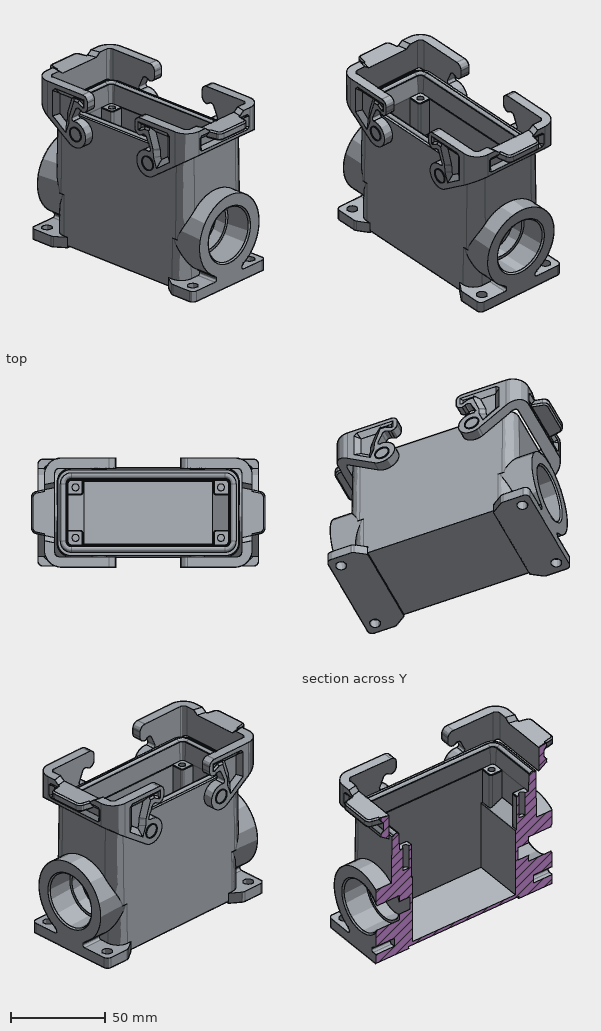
import cadquery as cq
import math

overall_length = 124.0
overall_width = 58.0
overall_height = 96.8

body_half_y = 23.8
base_half_x = 46.4
upper_half_x = 49.0
upper_corner = 7.7
base_corner = 7.3
body_bottom = 1.4
rim_height = 79.9
draft_angle = 0.8

bead_top = 81.0
bead_half_x = 45.1
bead_half_y = 19.6
bead_radius = 1.6

cavity_half_x = 42.5
cavity_half_y = 17.1
lower_cavity_half_y = 16.6
mouth_draft = 3.0
cavity_corner = 1.9
ledge_height = 68.8
floor_height = 3.8
ramp_half_x = 34.0
ramp_bottom = 46.5
ramp_top = 50.8

post_inner_x = 34.7
post_inner_y = 9.4
post_radius = 1.2
post_chamfer = 0.4
post_hole_x = 38.6
post_hole_y = 13.4
post_hole_radius = 1.9
post_hole_depth = 14.9

port_face_x = 58.5
port_height = 30.1
port_radius = 23.3
bore_radius = 15.6
bore_chamfer = 0.9
bore_chamfer_angle = 45
bore_end_x = 43.0
recess_radius = 14.0
recess_end_x = 36.0
web_half_y = 11.2
web_notch_width = 2.5
web_notch_height = 3.0

foot_half_y = 28.4
foot_thickness = 6.2
foot_inner_x = 36.5
foot_flat_x = 43.2
foot_corner = 2.7
foot_hole_x = 52.6
foot_hole_y = 22.2
foot_hole_radius = 2.9

lever_half_x = 55.0
lever_half_y = overall_width / 2
lever_inner_x = 49.6
lever_inner_y = 23.4
lever_corner = 9.0
lever_inner_corner = 2.5
lever_end_bottom = 82.7
pivot_x = 26.0
pivot_height = 71.8
pivot_radius = 7.6
pin_radius = 3.8
pin_root_y = 19.8
pin_groove_width = 0.2
pin_groove_depth = 0.5
hook_tip_x = 17.1
hook_radius = 3.6
hook_bottom = 86.7
catch_start = (22.3, 87.4)
catch_crest = (24.0, 88.0)
catch_end = (25.8, 86.4)
throat = (28.3, 81.0)
throat_bend = (28.1, 80.0)
throat_end_offset = 1.2

side_pocket_depth = 2.2
side_pocket_outline = [
    (42.2, 77.6),
    (42.2, 92.5),
    (40.4, 94.2),
    (25.9, 94.2),
    (30.3, 81.1),
    (30.5, 76.9),
    (32.7, 70.9),
]
tip_pocket_depth = 0.9
tip_pocket_outline = [
    (27.9, 94.2),
    (19.5, 94.2),
    (19.5, 89.7),
    (20.6, 89.3),
    (24.0, 91.3),
    (27.9, 91.3),
]
pocket_taper = 55
end_pocket_half_y = 19.1
end_pocket_bottom = 84.6
end_pocket_top = 93.5
end_pocket_corner = 1.2
end_pocket_depth = 1.6

grip_root_half_y = 13.3
grip_end_half_y = 10.7
grip_top = 94.7
grip_bottom = 89.9
grip_corner = 3.2
grip_chamfer = 0.9
grip_notch_taper = 52


def rounded_block(half_x, half_y, radius, bottom, top, taper=0):
    """Upright block with rounded vertical corners, centred on the Z axis."""
    outline = cq.Sketch().rect(2 * half_x, 2 * half_y).vertices().fillet(radius)
    return cq.Workplane("XY", origin=(0, 0, bottom)).placeSketch(outline).extrude(top - bottom, taper=taper)


def upright_cylinder(x, y, radius, bottom, top):
    return cq.Workplane("XY", origin=(x, y, bottom)).circle(radius).extrude(top - bottom)


def cylinder_along_x(radius, start, end):
    return cq.Workplane("YZ", origin=(start, 0, port_height)).circle(radius).extrude(end - start)


def both_ends(solid):
    return solid.union(solid.mirror("YZ"))


def both_sides(solid):
    return solid.union(solid.mirror("XZ"))


def housing_shell():
    """Drafted solid body whose ends step inwards below the port centre."""
    upper = rounded_block(upper_half_x, body_half_y, upper_corner, body_bottom, rim_height, draft_angle)
    lower_space = cq.Workplane("XY").box(
        overall_length, overall_width, port_height, centered=(True, True, False)
    )
    base = rounded_block(base_half_x, body_half_y, base_corner, body_bottom, port_height, draft_angle)
    return upper.cut(lower_space).union(base)


def gasket_bead():
    """Round sealing bead running around the rim."""
    path_height = bead_top - bead_radius
    path_corner = cavity_corner + bead_half_x - cavity_half_x
    start = (0, -bead_half_y, path_height)
    plan = cq.Workplane("XY", origin=(0, 0, path_height)).rect(2 * bead_half_x, 2 * bead_half_y)
    path = cq.Workplane(plan.wire().val().fillet2D(path_corner, plan.vertices().vals()))
    section_plane = cq.Plane(origin=start, xDir=(0, 0, 1), normal=(1, 0, 0))
    return cq.Workplane(section_plane).circle(bead_radius).sweep(path)


def port():
    """Cable port with the web that carries it on the foot."""
    tube = cylinder_along_x(port_radius, foot_inner_x, port_face_x)
    length = port_face_x - foot_inner_x
    web = cq.Workplane("XY").box(length, 2 * web_half_y, port_height, centered=(False, True, False))
    web = web.translate((foot_inner_x, 0, 0))
    notch_z = foot_thickness + web_notch_height / 2
    for side in (-1, 1):
        notch = cq.Workplane("YZ", origin=(foot_inner_x, side * web_half_y, notch_z))
        web = web.cut(notch.slot2D(web_notch_height, web_notch_width, 90).extrude(length))
    return tube.union(web)


def port_bore():
    bore = cylinder_along_x(bore_radius, bore_end_x, port_face_x)
    recess = cylinder_along_x(recess_radius, recess_end_x, port_face_x)
    mouth = cq.Workplane("YZ", origin=(port_face_x, 0, port_height)).circle(bore_radius + bore_chamfer)
    mouth = mouth.extrude(-bore_chamfer, taper=bore_chamfer_angle)
    return bore.union(recess).union(mouth)


def foot():
    outline = [
        (foot_inner_x, -body_half_y),
        (foot_flat_x, -foot_half_y),
        (port_face_x, -foot_half_y),
        (port_face_x, foot_half_y),
        (foot_flat_x, foot_half_y),
        (foot_inner_x, body_half_y),
    ]
    plate = cq.Workplane("XY").polyline(outline).close().extrude(foot_thickness)
    plate = plate.edges("|Z and (<Y or >Y)").fillet(foot_corner)
    for side in (-1, 1):
        plate = plate.cut(upright_cylinder(foot_hole_x, side * foot_hole_y, foot_hole_radius, 0, foot_thickness))
    return plate


def cavity():
    """Open interior: wide mouth above a ledge, sloped end walls behind the ports."""
    mouth = rounded_block(cavity_half_x, cavity_half_y, cavity_corner, ledge_height, overall_height, -mouth_draft)
    profile = [
        (-cavity_half_x, ledge_height),
        (-cavity_half_x, ramp_top),
        (-ramp_half_x, ramp_bottom),
        (-ramp_half_x, floor_height),
        (ramp_half_x, floor_height),
        (ramp_half_x, ramp_bottom),
        (cavity_half_x, ramp_top),
        (cavity_half_x, ledge_height),
    ]
    lower = cq.Workplane("XZ").polyline(profile).close().extrude(lower_cavity_half_y, both=True)
    return mouth.union(lower)


def screw_post():
    length = cavity_half_x - post_inner_x
    width = cavity_half_y - post_inner_y
    post = cq.Workplane("XY").box(length, width, ledge_height - ramp_bottom, centered=False)
    post = post.translate((post_inner_x, post_inner_y, ramp_bottom))
    post = post.edges("|Z and <X and <Y").fillet(post_radius)
    post = post.faces(">Z").edges("not (>X or >Y)").chamfer(post_chamfer)
    hole_bottom = ledge_height - post_hole_depth
    return post.cut(upright_cylinder(post_hole_x, post_hole_y, post_hole_radius, hole_bottom, ledge_height))


def lever_profile():
    """Side outline of one lever: end wall, hook, notch and pivot eye."""
    reach_x = lever_half_x - pivot_x
    reach_z = lever_end_bottom - pivot_height
    tangent_angle = math.atan2(reach_z, reach_x) - math.acos(pivot_radius / math.hypot(reach_x, reach_z))
    tangent = (
        pivot_x + pivot_radius * math.cos(tangent_angle),
        pivot_height + pivot_radius * math.sin(tangent_angle),
    )
    hook_x = hook_tip_x + hook_radius
    arc_shift = hook_radius * (1 - math.sqrt(0.5))
    eye_x = pivot_x + throat_end_offset
    eye_z = pivot_height + math.sqrt(pivot_radius**2 - throat_end_offset**2)
    return (
        cq.Workplane("XZ")
        .moveTo(lever_half_x, lever_end_bottom)
        .lineTo(lever_half_x, overall_height)
        .lineTo(hook_x, overall_height)
        .threePointArc(
            (hook_tip_x + arc_shift, overall_height - arc_shift),
            (hook_tip_x, overall_height - hook_radius),
        )
        .lineTo(hook_tip_x, hook_bottom + hook_radius)
        .threePointArc((hook_tip_x + arc_shift, hook_bottom + arc_shift), (hook_x, hook_bottom))
        .lineTo(*catch_start)
        .threePointArc(catch_crest, catch_end)
        .lineTo(*throat)
        .threePointArc(throat_bend, (eye_x, eye_z))
        .threePointArc((pivot_x - pivot_radius, pivot_height), tangent)
        .close()
    )


def side_pockets():
    """Tapered pockets in the -Y side wall of the lever."""
    face = cq.Workplane("XZ", origin=(0, -lever_half_y, 0))
    main = face.polyline(side_pocket_outline).close().extrude(-side_pocket_depth, taper=pocket_taper)
    tip = face.polyline(tip_pocket_outline).close().extrude(-tip_pocket_depth, taper=pocket_taper)
    return main.union(tip)


def end_pocket():
    height = end_pocket_top - end_pocket_bottom
    middle = (end_pocket_top + end_pocket_bottom) / 2
    outline = cq.Sketch().rect(2 * end_pocket_half_y, height).vertices().chamfer(end_pocket_corner)
    face = cq.Workplane("YZ", origin=(lever_half_x, 0, middle))
    return face.placeSketch(outline).extrude(-end_pocket_depth, taper=pocket_taper)


def grip_outline(level):
    end_x = overall_length / 2
    points = [
        (lever_inner_x, -grip_root_half_y),
        (end_x, -grip_end_half_y),
        (end_x, grip_end_half_y),
        (lever_inner_x, grip_root_half_y),
    ]
    return cq.Workplane("XY", origin=(0, 0, level)).polyline(points).close()


def finger_grip():
    grip = grip_outline(grip_bottom).extrude(grip_top - grip_bottom)
    grip = grip.edges("|Z and >X").fillet(grip_corner)
    return grip.faces(">Z or <Z").edges("not <X").chamfer(grip_chamfer)


def lever():
    outer = rounded_block(lever_half_x, lever_half_y, lever_corner, 0, overall_height)
    inner = rounded_block(lever_inner_x, lever_inner_y, lever_inner_corner, 0, overall_height)
    arm = outer.cut(inner).intersect(lever_profile().extrude(lever_half_y, both=True))
    arm = arm.cut(both_sides(side_pockets())).cut(end_pocket())
    notch = grip_outline(grip_top).extrude(overall_height - grip_top, taper=-grip_notch_taper)
    return arm.cut(notch).union(finger_grip())


def pivot_pin():
    """Pin joining the -Y lever eye to the housing, ringed by a fine groove."""
    pin = cq.Workplane("XZ", origin=(pivot_x, -pin_root_y, pivot_height)).circle(pin_radius)
    return pin.extrude(lever_half_y - pin_root_y)


def pin_groove():
    ring = cq.Workplane("XZ", origin=(pivot_x, -lever_half_y, pivot_height))
    return ring.circle(pin_radius + pin_groove_width).circle(pin_radius).extrude(-pin_groove_depth)


housing = housing_shell().union(gasket_bead()).union(both_ends(port())).union(both_ends(foot()))
housing = housing.cut(cavity()).cut(both_ends(port_bore()))
housing = housing.union(both_ends(both_sides(screw_post())))
levers = both_ends(lever()).union(both_ends(both_sides(pivot_pin())))
levers = levers.cut(both_ends(both_sides(pin_groove())))
result = housing.union(levers)